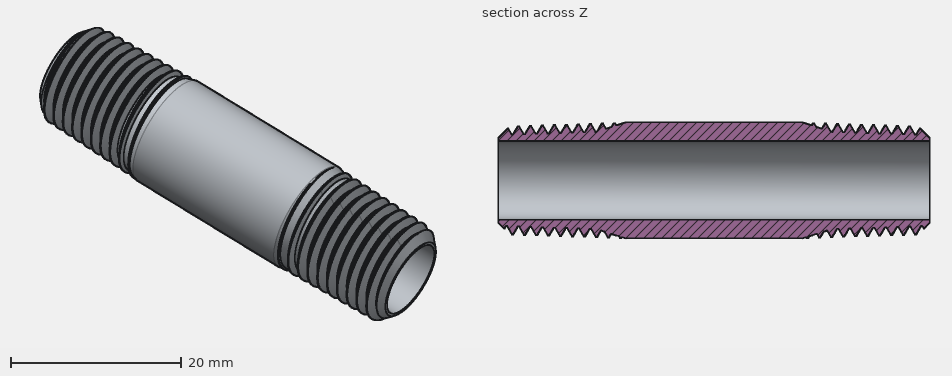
import cadquery as cq
import math

length = 50.8
body_radius = 6.85
bore_radius = 4.6

thread_turns = 12
thread_length = 16.9
pitch = thread_length / thread_turns
taper_angle = math.degrees(math.atan(1 / 32))
thread_depth = 0.95
crest_width = 0.15
flank_angle = 30.0
ridge_embed = 0.05
thread_start = -0.75
thread_end = thread_start + thread_length
thread_end_clearance = 0.025

end_radius = 5.0
runout_start = 11.55
runout_end = 15.05


def crest_radius(x):
    taper_slope = math.tan(math.radians(taper_angle))
    return body_radius - thread_end_clearance - (thread_end - x) * taper_slope


def root_radius(x):
    return crest_radius(x) - thread_depth


def make_core():
    """Half of the solid bar with the root cone, the runout and the plain body."""
    outline = [
        (0, 0),
        (0, root_radius(0)),
        (runout_start, root_radius(runout_start)),
        (runout_end, body_radius),
        (length / 2, body_radius),
        (length / 2, 0),
    ]
    return cq.Workplane("XY").polyline(outline).close().revolve(360, (0, 0), (1, 0))


def make_ridge():
    """Helical ridge with ruled sides, wound around Z and then turned onto X."""
    base_depth = thread_depth + ridge_embed
    slant_pitch = pitch / math.cos(math.radians(taper_angle))
    half_crest = crest_width / 2
    half_base = half_crest + base_depth * math.tan(math.radians(flank_angle))

    def corners_at(x):
        """(radius, position along the axis) of each corner of the ridge section."""
        tip_radius = crest_radius(x)
        base_radius = tip_radius - base_depth
        return [
            (base_radius, x - half_base),
            (tip_radius, x - half_crest),
            (tip_radius, x + half_crest),
            (base_radius, x + half_base),
        ]

    def end_cap(x):
        points = [cq.Vector(radius, 0, height) for radius, height in corners_at(x)]
        return cq.Face.makeFromWires(cq.Wire.makePolygon(points, close=True))

    faces = [end_cap(thread_start), end_cap(thread_end)]
    for turn in range(thread_turns):
        helices = [
            cq.Wire.makeHelix(
                slant_pitch, slant_pitch, radius, center=cq.Vector(0, 0, height), angle=taper_angle,
            ).Edges()[0]
            for radius, height in corners_at(thread_start + turn * pitch)
        ]
        for first, second in zip(helices, helices[1:] + helices[:1]):
            faces.append(cq.Face.makeRuledSurface(first, second))
    ridge = cq.Solid.makeSolid(cq.Shell.makeShell(faces))
    return cq.Workplane(ridge.rotate(cq.Vector(0, 0, 0), cq.Vector(0, 1, 0), 90))


def make_end_envelope():
    """Chamfered bar that trims the thread at the tube end."""
    envelope_radius = body_radius + thread_depth
    outline = [
        (0, 0),
        (0, end_radius),
        (envelope_radius - end_radius, envelope_radius),
        (length / 2, envelope_radius),
        (length / 2, 0),
    ]
    return cq.Workplane("XY").polyline(outline).close().revolve(360, (0, 0), (1, 0))


def make_half():
    bore = cq.Workplane("YZ").circle(bore_radius).extrude(length / 2)
    threaded = make_core().union(make_ridge()).intersect(make_end_envelope())
    return threaded.cut(bore).translate((-length / 2, 0, 0))


half = make_half()
result = half.union(half.rotate((0, 0, 0), (0, 1, 0), 180))